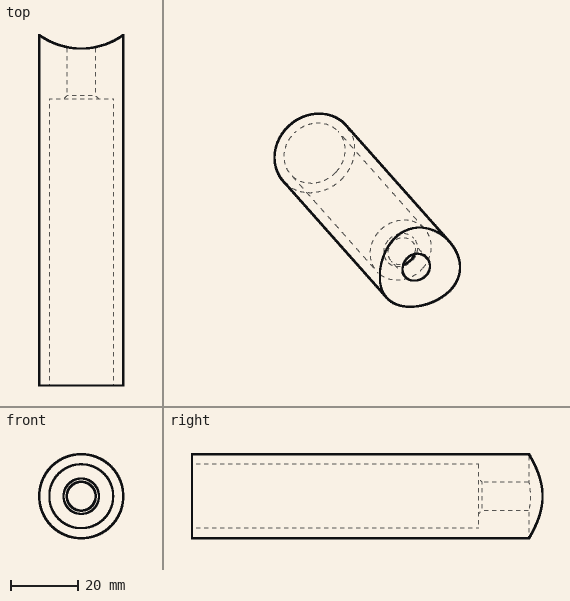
import cadquery as cq

outer_diameter = 25.0
bore_diameter = 19.0
length_to_saddle = 100.0
saddle_radius = 21.25
end_wall = 15.0
hole_diameter = 8.5
hole_chamfer = 1.0

bore_depth = length_to_saddle - end_wall
blank_length = length_to_saddle + saddle_radius
hole_mouth_radius = hole_diameter / 2 + hole_chamfer


def cylinder_along_y(diameter, start_y, length):
    """Cylinder on the Y axis, running from start_y toward +Y."""
    plane = cq.Workplane("XZ", origin=(0, start_y, 0))
    return plane.circle(diameter / 2).extrude(-length)


def saddle_cutter():
    """Crossing pipe along Z, tangent to the saddle's lowest point."""
    center_y = length_to_saddle + saddle_radius
    plane = cq.Workplane("XY", origin=(0, center_y, 0))
    return plane.circle(saddle_radius).extrude(outer_diameter, both=True)


def hole_mouth_cutter():
    """Conical 45 degree chamfer where the hole opens onto the bore floor."""
    cone = cq.Solid.makeCone(
        hole_mouth_radius,
        hole_diameter / 2,
        hole_chamfer,
        cq.Vector(0, bore_depth, 0),
        cq.Vector(0, 1, 0),
    )
    return cq.Workplane(obj=cone)


blank = cylinder_along_y(outer_diameter, 0, blank_length)
bore = cylinder_along_y(bore_diameter, 0, bore_depth)
through_hole = cylinder_along_y(hole_diameter, 0, blank_length)

result = (
    blank.cut(saddle_cutter())
    .cut(bore)
    .cut(through_hole)
    .cut(hole_mouth_cutter())
)